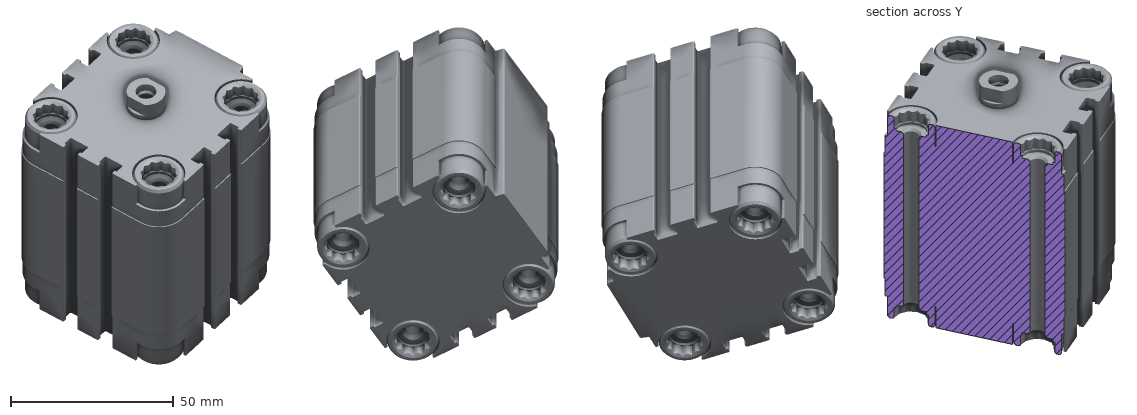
import cadquery as cq
import math

total_height = 82.0
housing_height = 75.4
cap_height = 14.4

tube_half_width = 30.0
cap_inset = 0.3
cap_half_width = tube_half_width - cap_inset
screw_offset = 20.9

rail_top_y = 32.5
rail_half_width_top = 13.1
rail_half_width_base = 13.7
rail_top_fillet = 0.65
rail_root_fillet = 0.5

slot_offset = 6.7
slot_neck_width = 5.4
slot_chamber_width = 6.9
slot_chamber_y = -28.3
slot_floor_y = -25.0
slot_fillet = 0.4
slot_mouth_round = 0.3

recess_depth = 7.9
recess_radius = 8.2
recess_edge = 18.7
boss_diameter = 16.0
boss_radius = boss_diameter / 2
boss_chamfer_width = 0.65
boss_chamfer_height = 0.9

socket_mouth_radius = 6.3
socket_point_radius = 5.7
socket_bore_diameter = 10.1
socket_bore_radius = socket_bore_diameter / 2
socket_mouth_depth = 0.65
socket_star_depth = 4.2
socket_floor_depth = 5.2
screw_hole_mouth_radius = 3.2
screw_hole_radius = 2.5
hexagon_sides = 6

rod_radius = 6.0
rod_width_across_flats = 10.0
rod_flat_height = 4.7
rod_bottom = housing_height - cap_height
rod_counterbore_radius = 3.2
rod_counterbore_depth = 2.7
rod_hole_radius = 2.5
rod_hole_depth = 12.3
drill_tip_angle = 120
drill_tip_slope = 1 / math.tan(math.radians(drill_tip_angle / 2))


def make_block(half_width, bottom, height):
    """Square block with rounded corners, concentric with the screws, and the rail on its +Y face."""
    side = 2 * half_width
    block = cq.Workplane("XY").workplane(offset=bottom).rect(side, side).extrude(height)
    block = block.edges("|Z").fillet(half_width - screw_offset)
    rail = (
        cq.Workplane("XY")
        .workplane(offset=bottom)
        .moveTo(-rail_half_width_base, 0)
        .lineTo(rail_half_width_base, 0)
        .lineTo(rail_half_width_base, cap_half_width)
        .lineTo(rail_half_width_top, rail_top_y)
        .lineTo(-rail_half_width_top, rail_top_y)
        .lineTo(-rail_half_width_base, cap_half_width)
        .close()
        .extrude(height)
    )
    rail = rail.faces(">Y").edges("|Z").fillet(rail_top_fillet)
    root_edges = cq.selectors.BoxSelector(
        (-rail_half_width_base - rail_root_fillet, half_width - rail_root_fillet, bottom),
        (rail_half_width_base + rail_root_fillet, half_width + rail_root_fillet, bottom + height),
    )
    return block.union(rail).edges("|Z").edges(root_edges).fillet(rail_root_fillet)


def make_slot(x, half_width, bottom, height):
    """T-slot cutter, open toward -Y, with a rounded mouth at the face y = -half_width."""
    chamber_depth = slot_floor_y - slot_chamber_y
    chamber = (
        cq.Workplane("XY")
        .workplane(offset=bottom)
        .center(x, slot_chamber_y + chamber_depth / 2)
        .rect(slot_chamber_width, chamber_depth)
        .extrude(height)
        .edges("|Z")
        .fillet(slot_fillet)
    )
    neck_half = slot_neck_width / 2
    mouth_half = neck_half + slot_mouth_round
    mouth_start_y = slot_mouth_round - half_width
    neck = (
        cq.Workplane("XY")
        .workplane(offset=bottom)
        .center(x, 0)
        .moveTo(-neck_half, slot_floor_y)
        .lineTo(neck_half, slot_floor_y)
        .lineTo(neck_half, mouth_start_y)
        .tangentArcPoint((mouth_half, -half_width), relative=False)
        .lineTo(-mouth_half, -half_width)
        .radiusArc((-neck_half, mouth_start_y), -slot_mouth_round)
        .close()
        .extrude(height)
    )
    return chamber.union(neck)


def make_profile(half_width, bottom, top):
    """One length of the slotted housing profile."""
    height = top - bottom
    profile = make_block(half_width, bottom, height)
    for x in (-slot_offset, slot_offset):
        slot = make_slot(x, half_width, bottom, height)
        for angle in (-90, 0, 90):
            profile = profile.cut(slot.rotate((0, 0, 0), (0, 0, 1), angle))
    return profile


def make_corner_recess():
    """Recess in the +X +Y corner at the top, without the boss that stands in it."""
    bottom = housing_height - recess_depth
    corner_width = tube_half_width - recess_edge
    corner = (
        cq.Workplane("XY")
        .workplane(offset=bottom)
        .center(recess_edge, recess_edge)
        .rect(corner_width, corner_width, centered=False)
        .extrude(recess_depth)
    )
    well = (
        cq.Workplane("XY")
        .workplane(offset=bottom)
        .center(screw_offset, screw_offset)
        .circle(recess_radius)
        .extrude(recess_depth)
    )
    return corner.union(well)


def make_boss():
    """Round boss with a chamfered top edge, turned about the screw axis."""
    bottom = housing_height - recess_depth
    chamfer_bottom = housing_height - boss_chamfer_height
    return (
        cq.Workplane("XZ")
        .moveTo(0, bottom)
        .lineTo(boss_radius, bottom)
        .lineTo(boss_radius, chamfer_bottom)
        .lineTo(boss_radius - boss_chamfer_width, housing_height)
        .lineTo(0, housing_height)
        .close()
        .revolve(360, (0, 0, 0), (0, 1, 0))
        .translate((screw_offset, screw_offset, 0))
    )


def make_star():
    """Twelve-point star from two hexagons, with its points trimmed by the socket's mouth cone."""
    bottom = housing_height - socket_star_depth
    hexagon = (
        cq.Workplane("XY")
        .workplane(offset=bottom)
        .polygon(hexagon_sides, 2 * socket_point_radius)
        .extrude(socket_star_depth)
    )
    star = hexagon.union(hexagon.rotate((0, 0, 0), (0, 0, 1), 180 / hexagon_sides))
    mouth_slope = socket_mouth_depth / (socket_mouth_radius - socket_bore_radius)
    point_top = housing_height - (socket_mouth_radius - socket_point_radius) * mouth_slope
    envelope = (
        cq.Workplane("XZ")
        .moveTo(0, bottom)
        .lineTo(socket_point_radius, bottom)
        .lineTo(socket_point_radius, point_top)
        .lineTo(socket_bore_radius, housing_height - socket_mouth_depth)
        .lineTo(0, housing_height - socket_mouth_depth)
        .close()
        .revolve(360, (0, 0, 0), (0, 1, 0))
    )
    return star.intersect(envelope)


def make_socket():
    """Socket and upper half of the screw hole, from the top face to mid height."""
    mouth_bottom = housing_height - socket_mouth_depth
    floor = housing_height - socket_floor_depth
    hole_cone_bottom = floor - (screw_hole_mouth_radius - screw_hole_radius)
    mid_height = housing_height / 2
    socket = (
        cq.Workplane("XZ")
        .moveTo(0, housing_height)
        .lineTo(socket_mouth_radius, housing_height)
        .lineTo(socket_bore_radius, mouth_bottom)
        .lineTo(socket_bore_radius, floor)
        .lineTo(screw_hole_mouth_radius, floor)
        .lineTo(screw_hole_radius, hole_cone_bottom)
        .lineTo(screw_hole_radius, mid_height)
        .lineTo(0, mid_height)
        .close()
        .revolve(360, (0, 0, 0), (0, 1, 0))
    )
    return socket.union(make_star()).translate((screw_offset, screw_offset, 0))


def at_all_corners(shape):
    """Copies of a top +X +Y corner shape at all eight corners of the housing."""
    copies = []
    for angle in (0, 90, 180, 270):
        top_copy = shape.rotate((0, 0, 0), (0, 0, 1), angle)
        copies.append(top_copy)
        copies.append(top_copy.mirror("XY", (0, 0, housing_height / 2)))
    return copies


def make_housing():
    tube_top = housing_height - cap_height
    body = make_profile(tube_half_width, cap_height, tube_top)
    body = body.union(make_profile(cap_half_width, 0, cap_height))
    body = body.union(make_profile(cap_half_width, tube_top, housing_height))
    for recess in at_all_corners(make_corner_recess()):
        body = body.cut(recess)
    for boss in at_all_corners(make_boss()):
        body = body.union(boss)
    for socket in at_all_corners(make_socket()):
        body = body.cut(socket)
    rod_bore = (
        cq.Workplane("XY").workplane(offset=rod_bottom).circle(rod_radius).extrude(cap_height)
    )
    return body.cut(rod_bore)


def make_rod():
    rod = cq.Workplane("XY").workplane(offset=rod_bottom).circle(rod_radius)
    rod = rod.extrude(total_height - rod_bottom)
    flat_cut_depth = rod_radius - rod_width_across_flats / 2
    flat_cut_y = rod_radius - flat_cut_depth / 2
    flat_cuts = (
        cq.Workplane("XY")
        .workplane(offset=total_height - rod_flat_height)
        .pushPoints([(0, -flat_cut_y), (0, flat_cut_y)])
        .rect(2 * rod_radius, flat_cut_depth)
        .extrude(rod_flat_height)
    )
    rod = rod.cut(flat_cuts)
    counterbore_bottom = total_height - rod_counterbore_depth
    step_bottom = counterbore_bottom - (rod_counterbore_radius - rod_hole_radius) * drill_tip_slope
    hole_bottom = total_height - rod_hole_depth
    hole = (
        cq.Workplane("XZ")
        .moveTo(0, total_height)
        .lineTo(rod_counterbore_radius, total_height)
        .lineTo(rod_counterbore_radius, counterbore_bottom)
        .lineTo(rod_hole_radius, step_bottom)
        .lineTo(rod_hole_radius, hole_bottom)
        .lineTo(0, hole_bottom - rod_hole_radius * drill_tip_slope)
        .close()
        .revolve(360, (0, 0, 0), (0, 1, 0))
    )
    return rod.cut(hole)


housing = make_housing()
rod = make_rod()

result = cq.Compound.makeCompound([housing.val(), rod.val()])